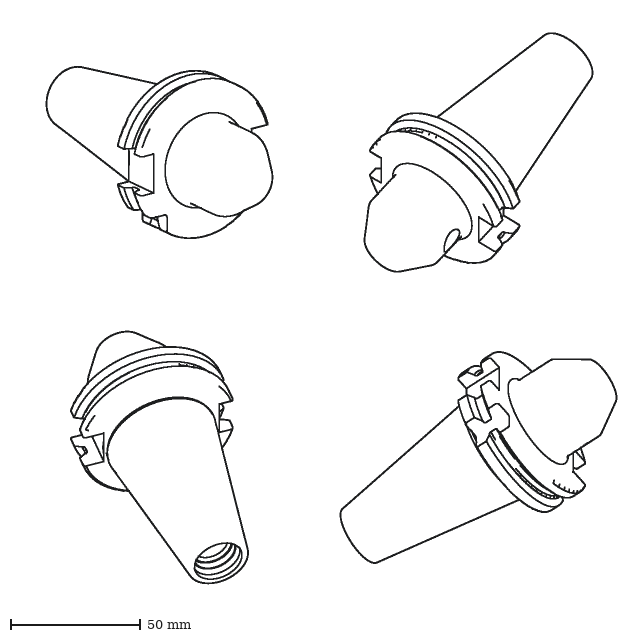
import cadquery as cq
import math

total_length = 118.2

gauge_radius = 22.2
taper_length = 67.8
taper_ratio = 7 / 24
small_end_radius = gauge_radius - taper_length * taper_ratio / 2
small_end_round = 0.7

neck_radius = 21.9
neck_start = 68.8
neck_fillet = 1.0

flange_radius = 63.5 / 2
flange_start = 71.2
flange_width = 16.1
flange_end = flange_start + flange_width
flange_round = 1.0
groove_center = flange_start + flange_width / 2 + 0.1
groove_mouth_width = 6.7
groove_root_width = 3.7
groove_floor_radius = 28.1
groove_root_fillet = 0.7
groove_flank_angle = 30.0
groove_flank_run = (groove_mouth_width - groove_root_width) / 2
groove_root_radius = flange_radius - groove_flank_run / math.tan(math.radians(groove_flank_angle))

nose_radius = 17.5
shoulder_radius = 19.3
shoulder_fillet = 3.2
shoulder_rise = shoulder_radius - nose_radius
shoulder_length = math.sqrt(shoulder_fillet**2 - (shoulder_fillet - shoulder_rise) ** 2)
tip_cone_start = 105.2
tip_radius = 9.7
tip_round = 0.8
nose_edge_round = 1.2

entry_radius = 9.7
entry_depth = 2.5
entry_cone_end_radius = 8.8
pilot_radius = 8.4
pilot_start = 4.7
pilot_end = 7.7
thread_chamfer_radius = 7.9
thread_radius = 7.0
thread_start = 9.2
bore_depth = 28.4
drill_point_angle = 118.0
drill_point_length = thread_radius / math.tan(math.radians(drill_point_angle / 2))

keyway_width = 16.1
keyway_floor_back = 22.5
keyway_floor_front = 24.8
notch_offset_y = 18.3
notch_offset_z = 18.3
notch_fillet = 1.3

screw_radius = 5.0
screw_x = 97.9


def revolve_about_x(outline):
    return outline.close().revolve(360, (0, 0, 0), (1, 0, 0))


def make_taper_and_neck():
    taper = revolve_about_x(
        cq.Workplane("XY")
        .lineTo(0, small_end_radius)
        .lineTo(taper_length, gauge_radius)
        .lineTo(neck_start, neck_radius)
        .lineTo(flange_start - neck_fillet, neck_radius)
        .radiusArc((flange_start, neck_radius + neck_fillet), -neck_fillet)
        .lineTo(flange_start, 0)
    )
    return taper.faces("<X").edges().fillet(small_end_round)


def make_flange():
    blank = (
        cq.Workplane("YZ", origin=(flange_start, 0, 0))
        .circle(flange_radius)
        .extrude(flange_width)
        .edges()
        .fillet(flange_round)
    )
    half_mouth = groove_mouth_width / 2
    half_root = groove_root_width / 2
    half_floor = half_root - groove_root_fillet
    floor_corner = groove_floor_radius + groove_root_fillet
    groove = revolve_about_x(
        cq.Workplane("XY")
        .moveTo(groove_center - half_mouth, flange_radius)
        .lineTo(groove_center - half_root, groove_root_radius)
        .lineTo(groove_center - half_root, floor_corner)
        .radiusArc((groove_center - half_floor, groove_floor_radius), -groove_root_fillet)
        .lineTo(groove_center + half_floor, groove_floor_radius)
        .radiusArc((groove_center + half_root, floor_corner), -groove_root_fillet)
        .lineTo(groove_center + half_root, groove_root_radius)
        .lineTo(groove_center + half_mouth, flange_radius)
    )
    return blank.cut(groove)


def make_nose():
    shoulder_end = flange_end + shoulder_length
    nose = revolve_about_x(
        cq.Workplane("XY")
        .moveTo(flange_end, 0)
        .lineTo(flange_end, shoulder_radius)
        .radiusArc((shoulder_end, nose_radius), -shoulder_fillet)
        .lineTo(tip_cone_start, nose_radius)
        .lineTo(total_length, tip_radius)
        .lineTo(total_length, 0)
    )

    def round_edge_at(body, x, radius):
        margin = 0.1
        reach = 2 * shoulder_radius
        zone = cq.selectors.BoxSelector(
            (x - margin, -reach, -reach), (x + margin, reach, reach), boundingbox=True
        )
        return body.edges(zone).edges("%CIRCLE").fillet(radius)

    nose = round_edge_at(nose, tip_cone_start, nose_edge_round)
    return round_edge_at(nose, total_length, tip_round)


def make_drawbar_bore():
    return revolve_about_x(
        cq.Workplane("XY")
        .lineTo(0, entry_radius)
        .lineTo(entry_depth, entry_radius)
        .lineTo(pilot_start, entry_cone_end_radius)
        .lineTo(pilot_start, pilot_radius)
        .lineTo(pilot_end, pilot_radius)
        .lineTo(pilot_end, thread_chamfer_radius)
        .lineTo(thread_start, thread_radius)
        .lineTo(bore_depth, thread_radius)
        .lineTo(bore_depth + drill_point_length, 0)
    )


def make_keyway(floor_y, side):
    """Drive keyway on the +Y (side = 1) or -Y (side = -1) edge of the flange."""
    depth = flange_radius - floor_y
    return cq.Workplane("XY").box(flange_width, depth, keyway_width).translate(
        (flange_start + flange_width / 2, side * (floor_y + depth / 2), 0)
    )


def make_notch():
    """Corner cut through the flange on the -Y, -Z side with a rounded inner corner."""
    return (
        cq.Workplane("YZ", origin=(flange_start, 0, 0))
        .moveTo(-notch_offset_y, -notch_offset_z)
        .lineTo(-flange_radius, -notch_offset_z)
        .lineTo(-flange_radius, -flange_radius)
        .lineTo(-notch_offset_y, -flange_radius)
        .close()
        .extrude(flange_width)
        .edges("|X and >Y and >Z")
        .fillet(notch_fillet)
    )


def make_screw_hole():
    """Radial hole from the +Y side, ending at the axis."""
    return (
        cq.Workplane("XZ", origin=(screw_x, 0, 0))
        .circle(screw_radius)
        .extrude(-shoulder_radius)
    )


flange = (
    make_flange()
    .cut(make_keyway(keyway_floor_back, 1))
    .cut(make_keyway(keyway_floor_front, -1))
    .cut(make_notch())
)
result = (
    make_taper_and_neck()
    .union(flange)
    .union(make_nose())
    .cut(make_drawbar_bore())
    .cut(make_screw_hole())
)